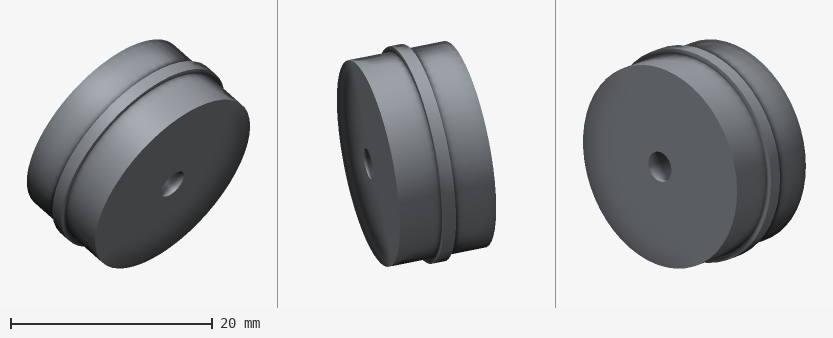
import cadquery as cq

flange_diameter = 22.0
body_diameter = 20.9
bore_diameter = 3.1
body_length = 10.0
flange_width = 1.32


def centred_disc(diameter, length):
    """Cylinder along X, centred on the origin."""
    start_plane = cq.Workplane("YZ").workplane(offset=-length / 2)
    return start_plane.circle(diameter / 2).extrude(length)


body = centred_disc(body_diameter, body_length)
flange = centred_disc(flange_diameter, flange_width)

bore = centred_disc(bore_diameter, body_length)

result = body.union(flange).cut(bore)